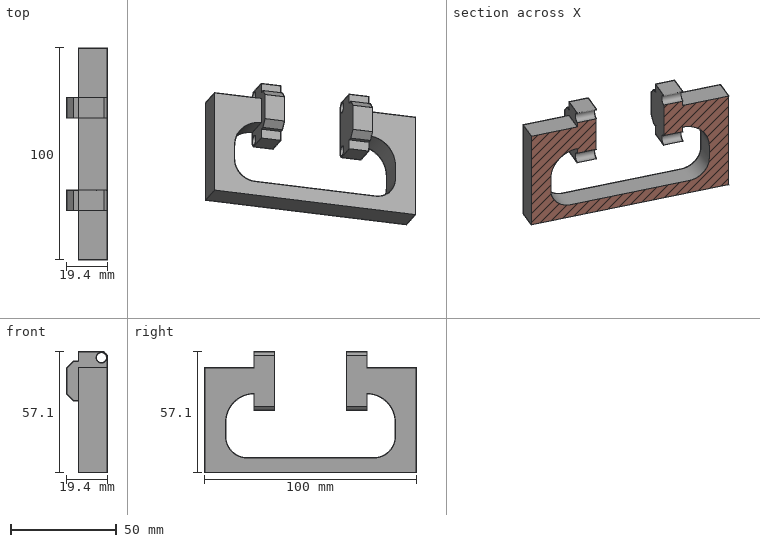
import cadquery as cq

frame_length = 100.0
frame_thickness = 13.75
frame_height = 49.5
side_wall = 10.0
bottom_wall = 7.0
opening_height = 30.2
upper_radius = 13.4
lower_radius = 10.0

clip_width = 9.75
clip_gap = 34.0
clip_height = 27.75
overall_height = 57.11
corner_chamfer = 1.75

overall_depth = 19.35
nose_projection = overall_depth - frame_thickness
nose_height = 18.75
nose_chamfer = 3.25

hole_diameter = 4.8
hole_inset = 2.85

clip_center_z = overall_height - clip_height / 2
clip_offset = (clip_gap + clip_width) / 2


def y_block(x_size, y_size, z_size):
    """Box with its -X face at x = 0, centred on Y, standing on z = 0."""
    return cq.Workplane("XY").box(x_size, y_size, z_size, centered=(False, True, False))


def make_frame():
    """Rectangular plate with a rounded opening and a gap in its top side."""
    opening_length = frame_length - 2 * side_wall
    opening = y_block(frame_thickness, opening_length, opening_height)
    opening = opening.edges("|X and >Z").fillet(upper_radius)
    opening = opening.edges("|X and <Z").fillet(lower_radius)
    opening = opening.translate((0, 0, bottom_wall))

    gap_height = frame_height - bottom_wall - lower_radius
    gap = y_block(frame_thickness, clip_gap, gap_height)
    gap = gap.translate((0, 0, frame_height - gap_height))

    plate = y_block(frame_thickness, frame_length, frame_height)
    return plate.cut(opening).cut(gap)


def make_nose():
    """Pad whose two outer edges along Y are chamfered, centred on the origin in Y and Z."""
    nose = cq.Workplane("XY").box(
        nose_projection, clip_width, nose_height, centered=(False, True, True)
    )
    nose = nose.edges("|Y and <X").chamfer(nose_chamfer)
    return nose.translate((-nose_projection, 0, 0))


def make_clip():
    """Block with chamfered +X corners, a nose and two pin holes, centred on the origin in Y and Z."""
    block = cq.Workplane("XY").box(
        frame_thickness, clip_width, clip_height, centered=(False, True, True)
    )
    block = block.edges("|Y and >X").chamfer(corner_chamfer)
    hole_x = frame_thickness - hole_inset
    hole_z = clip_height / 2 - hole_inset
    holes = (
        cq.Workplane("XZ")
        .pushPoints([(hole_x, hole_z), (hole_x, -hole_z)])
        .circle(hole_diameter / 2)
        .extrude(clip_width / 2, both=True)
    )
    return block.union(make_nose()).cut(holes)


result = make_frame()
clip = make_clip()
for side in (-1, 1):
    result = result.union(clip.translate((0, side * clip_offset, clip_center_z)))